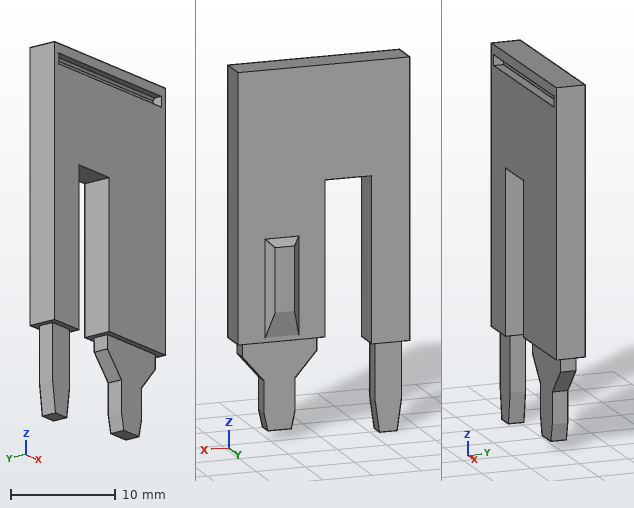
import cadquery as cq

height = 37.2
width = 17.45
thickness = 2.98
left_leg_width = 3.85
right_leg_start = 8.6
left_leg_bottom = 9.05
right_leg_bottom = 10.15
gap_top = 25.75

groove_margin = 0.67
groove_top = height - 1.0
groove_bottom = height - 2.1
groove_depth = 1.0
groove_chamfer_rise = 0.25
groove_chamfer_run = 0.2

pin_thickness = 1.6
pin_embed = 0.37
left_pin_center = left_leg_width / 2
left_pin_width = 2.68
left_pin_tip_width = 1.8
left_pin_taper_start = 3.15
right_pin_center = 12.98
right_pin_shoulder_width = 7.55
right_pin_shoulder_bottom = 8.7
right_pin_width = 3.15
right_pin_neck_top = 6.17
right_pin_taper_start = 2.95
right_pin_tip_width = 2.38
right_pin_tip = 1.15

bump_height = 0.8
bump_base_width = 3.42
bump_crest_width = 1.97
bump_bottom = 10.6
bump_crest_bottom = 13.25
bump_crest_top = 19.7
bump_top = 20.4


def make_housing():
    """Plate with two legs of different length."""
    outline = [
        (0, height),
        (width, height),
        (width, right_leg_bottom),
        (right_leg_start, right_leg_bottom),
        (right_leg_start, gap_top),
        (left_leg_width, gap_top),
        (left_leg_width, left_leg_bottom),
        (0, left_leg_bottom),
    ]
    return cq.Workplane("XZ").polyline(outline).close().extrude(-thickness)


def make_groove():
    """Rectangular slot cutter with a chamfer where its roof meets its back wall."""
    profile = [
        (0, groove_bottom),
        (groove_depth, groove_bottom),
        (groove_depth, groove_top - groove_chamfer_rise),
        (groove_depth - groove_chamfer_run, groove_top),
        (0, groove_top),
    ]
    return (
        cq.Workplane("YZ", origin=(groove_margin, 0, 0))
        .polyline(profile)
        .close()
        .extrude(width - 2 * groove_margin)
    )


def make_pin(center, stations):
    """Symmetric flat pin through (width, z) stations listed from top to tip."""
    right_side = [(center + w / 2, z) for w, z in stations]
    left_side = [(center - w / 2, z) for w, z in reversed(stations)]
    front = (thickness - pin_thickness) / 2
    return (
        cq.Workplane("XZ", origin=(0, front, 0))
        .polyline(right_side + left_side)
        .close()
        .extrude(-pin_thickness)
    )


def make_bump():
    """Ridge sloped on all four sides: the overlap of its side and end profiles."""
    crest = thickness + bump_height
    side_profile = [
        (thickness, bump_bottom),
        (crest, bump_crest_bottom),
        (crest, bump_crest_top),
        (thickness, bump_top),
    ]
    end_profile = [
        (right_pin_center - bump_base_width / 2, thickness),
        (right_pin_center - bump_crest_width / 2, crest),
        (right_pin_center + bump_crest_width / 2, crest),
        (right_pin_center + bump_base_width / 2, thickness),
    ]
    side = cq.Workplane("YZ").polyline(side_profile).close().extrude(width)
    end = cq.Workplane("XY").polyline(end_profile).close().extrude(height)
    return side.intersect(end)


left_pin = make_pin(
    left_pin_center,
    [
        (left_pin_width, left_leg_bottom + pin_embed),
        (left_pin_width, left_pin_taper_start),
        (left_pin_tip_width, 0),
    ],
)
right_pin = make_pin(
    right_pin_center,
    [
        (right_pin_shoulder_width, right_leg_bottom + pin_embed),
        (right_pin_shoulder_width, right_pin_shoulder_bottom),
        (right_pin_width, right_pin_neck_top),
        (right_pin_width, right_pin_taper_start),
        (right_pin_tip_width, right_pin_tip),
    ],
)

result = make_housing().cut(make_groove()).union(left_pin).union(right_pin).union(make_bump())